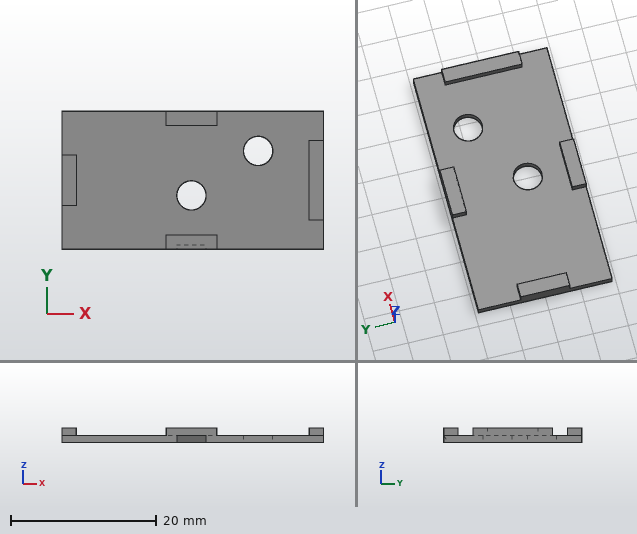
import cadquery as cq

length = 36.0
width = 19.0
total_height = 2.0
plate_thickness = total_height / 2
tab_height = total_height - plate_thickness

tab_depth = 1.98
short_tab_length = 7.0
long_tab_length = 10.95
feature_offset_x = -0.18

hole_diameter = 4.0
hole_centers = [(feature_offset_x, -2.1), (9.0, 4.05)]

notch_length = 4.0
notch_depth = 0.58


def edge_tab(size_x, size_y, center_x, center_y):
    """Raised block standing on the plate."""
    return (
        cq.Workplane("XY", origin=(center_x, center_y, plate_thickness))
        .box(size_x, size_y, tab_height, centered=(True, True, False))
    )


def sloped_notch():
    """Wedge cut whose depth grows from zero at the plate top to full at the underside."""
    front_y = -width / 2
    return (
        cq.Workplane("YZ", origin=(feature_offset_x - notch_length / 2, 0, 0))
        .moveTo(front_y, 0)
        .lineTo(front_y + notch_depth, 0)
        .lineTo(front_y, plate_thickness)
        .close()
        .extrude(notch_length)
    )


plate = cq.Workplane("XY").box(length, width, plate_thickness, centered=(True, True, False))

end_tab_x = (length - tab_depth) / 2
side_tab_y = (width - tab_depth) / 2

body = plate.union(edge_tab(tab_depth, short_tab_length, -end_tab_x, 0))
body = body.union(edge_tab(tab_depth, long_tab_length, end_tab_x, 0))
for side in (-1, 1):
    body = body.union(edge_tab(short_tab_length, tab_depth, feature_offset_x, side * side_tab_y))

holes = (
    cq.Workplane("XY")
    .pushPoints(hole_centers)
    .circle(hole_diameter / 2)
    .extrude(plate_thickness)
)

result = body.cut(holes).cut(sloped_notch())